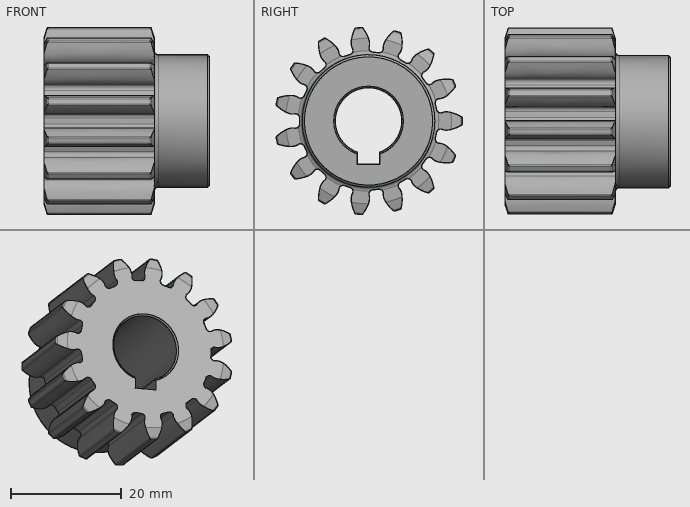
import cadquery as cq
import math

module = 2.0
teeth = 15
pressure_angle = math.radians(20)
pitch_radius = module * teeth / 2
base_radius = pitch_radius * math.cos(pressure_angle)
tip_radius = pitch_radius + module
root_radius = pitch_radius - 1.25 * module
root_fillet = 0.75
root_fillet_offset = 0.55
tip_fillet = 0.3

face_width = 10 * module
end_slope = math.radians(17)
end_setback = module * math.tan(end_slope)

total_length = 15 * module
hub_radius = 6 * module
hub_fillet = 0.7
hub_chamfer = 0.4

bore_radius = 3 * module
bore_chamfer = 0.3
key_width = 2 * module
key_depth = 7.8

cut_radius = tip_radius + module / 4
flank_steps = 8


def polar(radius, angle):
    return radius * math.cos(angle), radius * math.sin(angle)


def mirrored(point):
    return point[0], -point[1]


def involute(angle):
    return math.tan(angle) - angle


def flank_point(radius):
    """Point on the upper involute flank of the tooth gap centred on the first axis."""
    widening = involute(math.acos(base_radius / radius)) - involute(pressure_angle)
    return polar(radius, math.pi / (2 * teeth) + widening)


def blank():
    """Turned gear and hub, with bevelled tooth ends and a fillet at the hub."""
    hub_start = face_width + hub_fillet
    fillet_middle = hub_fillet * (1 - math.sqrt(0.5))
    return (
        cq.Workplane("XY")
        .moveTo(0, 0)
        .lineTo(0, pitch_radius)
        .lineTo(end_setback, tip_radius)
        .lineTo(face_width - end_setback, tip_radius)
        .lineTo(face_width, pitch_radius)
        .lineTo(face_width, hub_radius + hub_fillet)
        .threePointArc(
            (face_width + fillet_middle, hub_radius + fillet_middle),
            (hub_start, hub_radius),
        )
        .lineTo(total_length - hub_chamfer, hub_radius)
        .lineTo(total_length, hub_radius - hub_chamfer)
        .lineTo(total_length, 0)
        .close()
        .revolve(360, (0, 0, 0), (1, 0, 0))
    )


def tooth_gap():
    """Cutter for one tooth gap, centred on +Y."""
    centre_angle = math.asin(root_fillet_offset / (root_radius + root_fillet))
    centre_x, centre_y = polar(root_radius + root_fillet, centre_angle)

    radius_step = (cut_radius - base_radius) / flank_steps
    flank = [flank_point(base_radius + i * radius_step) for i in range(flank_steps + 1)]

    run_x = flank[0][0] - centre_x
    run_y = flank[0][1] - centre_y
    tangent_angle = math.atan2(run_y, run_x) + math.acos(root_fillet / math.hypot(run_x, run_y))

    def fillet_point(angle):
        x, y = polar(root_fillet, angle)
        return centre_x + x, centre_y + y

    root_end = polar(root_radius, centre_angle)
    fillet_end = fillet_point(tangent_angle)
    fillet_middle = fillet_point((tangent_angle + math.pi + centre_angle) / 2)

    return (
        cq.Workplane("YZ")
        .moveTo(*mirrored(root_end))
        .threePointArc((root_radius, 0), root_end)
        .threePointArc(fillet_middle, fillet_end)
        .spline(flank, includeCurrent=True)
        .lineTo(*mirrored(flank[-1]))
        .spline(
            [mirrored(point) for point in flank[-2::-1]] + [mirrored(fillet_end)],
            includeCurrent=True,
        )
        .threePointArc(mirrored(fillet_middle), mirrored(root_end))
        .close()
        .extrude(total_length)
    )


def bore():
    """Through bore, chamfered at both ends, with a keyway on its -Z side."""
    mouth_radius = bore_radius + bore_chamfer
    hole = (
        cq.Workplane("XY")
        .moveTo(0, 0)
        .lineTo(0, mouth_radius)
        .lineTo(bore_chamfer, bore_radius)
        .lineTo(total_length - bore_chamfer, bore_radius)
        .lineTo(total_length, mouth_radius)
        .lineTo(total_length, 0)
        .close()
        .revolve(360, (0, 0, 0), (1, 0, 0))
    )
    keyway = cq.Workplane("XY").box(
        total_length, key_width, key_depth, centered=(False, True, False)
    )
    return hole.union(keyway.translate((0, 0, -key_depth)))


gear = blank()

pitch_angle = 360 / teeth
gap = tooth_gap()
for i in range(teeth):
    gear = gear.cut(gap.rotate((0, 0, 0), (1, 0, 0), (i + 0.5) * pitch_angle))

middle_of_face = face_width / 2
land_edges = []
for i in range(teeth):
    land_y, land_z = polar(tip_radius, math.radians(i * pitch_angle))
    land = cq.selectors.NearestToPointSelector((middle_of_face, land_y, land_z))
    land_edges += gear.faces(land).edges().vals()
gear = gear.newObject(land_edges).fillet(tip_fillet)

result = gear.cut(bore())